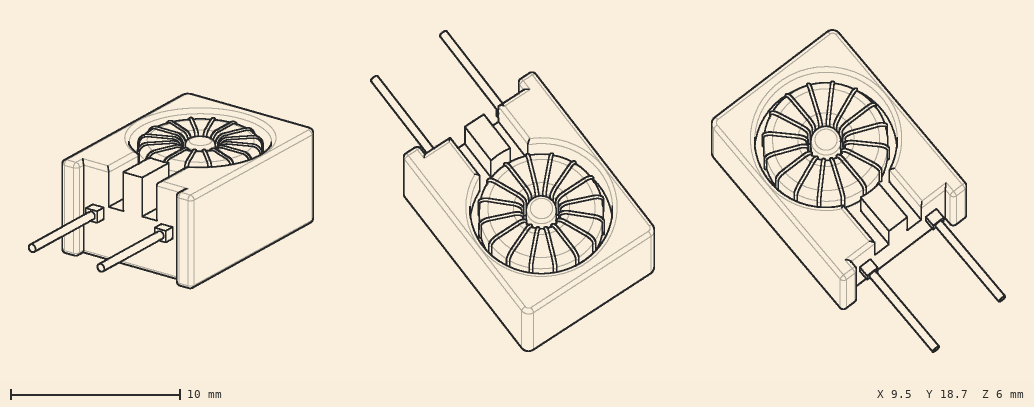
import cadquery as cq

width = 9.5
height = 6.0
total_length = 18.7
lead_length = 6.0
body_length = total_length - lead_length
back_y = 5.18
leg_front_y = back_y - body_length
leg_width = 1.18
leg_depth = 0.7
front_y = leg_front_y + leg_depth
edge_radius = 0.26
back_corner_radius = 0.5

pocket_radius = 4.2
pocket_depth = 2.5
pocket_floor = height - pocket_depth
channel_width = 3.5
tongue_width = 1.38

coil_outer_radius = 3.67
coil_inner_radius = 1.16
coil_edge_radius = 0.5
coil_recess = 0.2
coil_top = height - coil_recess
wire_diameter = 0.2
wire_count = 16
post_radius = 0.88
post_edge_radius = 0.22
post_top = coil_top

lead_spacing = 5.0
lead_diameter = 0.5
lead_z = height / 2
stub_width = 0.8
stub_height = 0.75


def block(x_size, y_start, y_end, z_start, z_end):
    """Box centred on X = 0 between the given Y and Z limits."""
    return cq.Workplane("XY").box(
        x_size, y_end - y_start, z_end - z_start, centered=(True, False, False)
    ).translate((0, y_start, z_start))


def disc(radius, z_start, z_end):
    """Upright cylinder on the coil axis."""
    return cq.Workplane("XY").workplane(offset=z_start).circle(radius).extrude(z_end - z_start)


def make_housing():
    """Block with two front legs, an open-fronted coil pocket and rounded edges."""
    housing = block(width, leg_front_y, back_y, 0, height)
    housing = housing.cut(block(width - 2 * leg_width, leg_front_y, front_y, 0, height))
    housing = housing.edges("|Z and >Y").fillet(back_corner_radius)
    housing = housing.faces("<Y").edges("|Z").fillet(edge_radius)
    pocket = disc(pocket_radius, pocket_floor, height)
    channel = block(channel_width, front_y, 0, pocket_floor, height)
    housing = housing.cut(pocket.union(channel))
    return housing.faces(">Z or <Z").edges().fillet(edge_radius)


def make_tongue():
    """Sharp-edged block in the channel, hollowed at the back to follow the pocket wall."""
    tongue = block(tongue_width, front_y, 0, pocket_floor, height)
    return tongue.cut(disc(pocket_radius, pocket_floor, height))


def make_coil():
    """Ring with rounded upper edges, standing on the pocket floor."""
    ring = disc(coil_outer_radius, pocket_floor, coil_top).cut(
        disc(coil_inner_radius, pocket_floor, coil_top)
    )
    return ring.faces(">Z").edges().fillet(coil_edge_radius)


def make_wire():
    """One turn, half sunk in the ring, running up its outside, over it and down its hole."""
    bend_z = coil_top - coil_edge_radius
    outer_flat = coil_outer_radius - coil_edge_radius
    inner_flat = coil_inner_radius + coil_edge_radius
    path = (
        cq.Workplane("XZ")
        .moveTo(coil_outer_radius, pocket_floor)
        .lineTo(coil_outer_radius, bend_z)
        .tangentArcPoint((outer_flat, coil_top), relative=False)
        .lineTo(inner_flat, coil_top)
        .tangentArcPoint((coil_inner_radius, bend_z), relative=False)
        .lineTo(coil_inner_radius, pocket_floor)
    )
    start = cq.Workplane("XY", origin=(coil_outer_radius, 0, pocket_floor))
    return start.circle(wire_diameter / 2).sweep(path)


def make_post():
    """Centre post with a rounded top."""
    return disc(post_radius, pocket_floor, post_top).faces(">Z").edges().fillet(post_edge_radius)


def make_lead(x):
    """Rectangular stub on the front face with a round lead running out of it."""
    stub = block(stub_width, leg_front_y, front_y, lead_z - stub_height / 2, lead_z + stub_height / 2)
    lead = (
        cq.Workplane("XZ", origin=(0, leg_front_y, lead_z))
        .circle(lead_diameter / 2)
        .extrude(lead_length)
    )
    return stub.union(lead).translate((x, 0, 0))


result = make_housing().union(make_tongue()).union(make_coil()).union(make_post())

wire = make_wire()
for turn in range(wire_count):
    result = result.union(wire.rotate((0, 0, 0), (0, 0, 1), turn * 360 / wire_count))

for side in (-1, 1):
    result = result.union(make_lead(side * lead_spacing / 2))